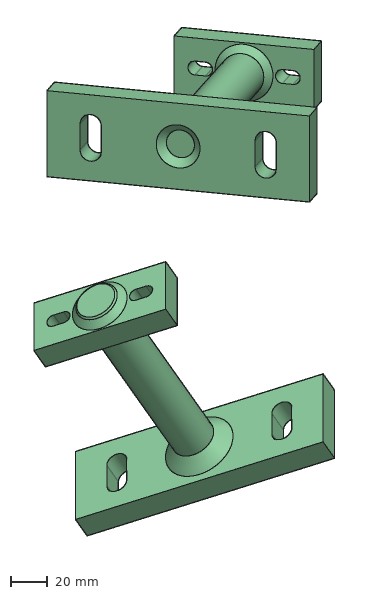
import cadquery as cq

BASE_LENGTH = 150.0
BASE_HEIGHT = BASE_LENGTH / 3
PLATE_THICKNESS = BASE_LENGTH / 10
BASE_SLOT_LENGTH = 27.0
BASE_SLOT_WIDTH = 12.0
BASE_SLOT_SPACING = BASE_LENGTH * 2 / 3

ROD_RADIUS = BASE_LENGTH / 12
ROD_START = 4.5
ROD_END = 148.0
ROD_CHAMFER = 1.0

HEAD_LENGTH = 80.0
HEAD_HEIGHT = 35.0
HEAD_SLOT_LENGTH = 14.0
HEAD_SLOT_WIDTH = 8.0
HEAD_SLOT_SPACING = BASE_SLOT_SPACING / 2

BASE_WELD_LEG = 8.0
HEAD_WELD_LEG = 4.0

HEAD_BACK = ROD_END - ROD_CHAMFER - HEAD_WELD_LEG
HEAD_FRONT = HEAD_BACK - PLATE_THICKNESS


def make_plate(length, height, front, slot_spacing, slot_length, slot_width, slot_angle):
    """Plate with two slots and a central hole in which the rod fits."""
    face = cq.Workplane("XZ", origin=(0, front, 0))
    plate = face.rect(length, height).extrude(-PLATE_THICKNESS)
    slots = (
        face.pushPoints([(-slot_spacing / 2, 0), (slot_spacing / 2, 0)])
        .slot2D(slot_length, slot_width, slot_angle)
        .extrude(-PLATE_THICKNESS)
    )
    rod_hole = face.circle(ROD_RADIUS).extrude(-PLATE_THICKNESS)
    return plate.cut(slots).cut(rod_hole)


def make_rod():
    """Round bar along Y with a chamfer at its far end."""
    bar = cq.Workplane("XZ", origin=(0, ROD_START, 0)).circle(ROD_RADIUS).extrude(ROD_START - ROD_END)
    return bar.faces(">Y").chamfer(ROD_CHAMFER)


def make_weld(corner_y, axial_leg, radial_leg):
    """Triangular weld ring; its square corner is on the rod radius at corner_y.

    The sign of a leg sets its direction: +Y or -Y, outward or inward.
    """
    return (
        cq.Workplane("XY")
        .moveTo(ROD_RADIUS, corner_y)
        .lineTo(ROD_RADIUS + radial_leg, corner_y)
        .lineTo(ROD_RADIUS, corner_y + axial_leg)
        .close()
        .revolve(360, (0, 0, 0), (0, 1, 0))
    )


base_plate = make_plate(
    BASE_LENGTH, BASE_HEIGHT, 0, BASE_SLOT_SPACING, BASE_SLOT_LENGTH, BASE_SLOT_WIDTH, 90
)
head_plate = make_plate(
    HEAD_LENGTH, HEAD_HEIGHT, HEAD_FRONT, HEAD_SLOT_SPACING, HEAD_SLOT_LENGTH, HEAD_SLOT_WIDTH, 0
)
rod = make_rod()

WELDS = [
    (ROD_START, -ROD_START, -ROD_START),
    (PLATE_THICKNESS, BASE_WELD_LEG, BASE_WELD_LEG),
    (HEAD_FRONT, -HEAD_WELD_LEG, HEAD_WELD_LEG),
    (HEAD_BACK, HEAD_WELD_LEG, HEAD_WELD_LEG),
]
welds = [make_weld(*weld).val() for weld in WELDS]

result = cq.Compound.makeCompound([base_plate.val(), rod.val(), head_plate.val(), *welds])